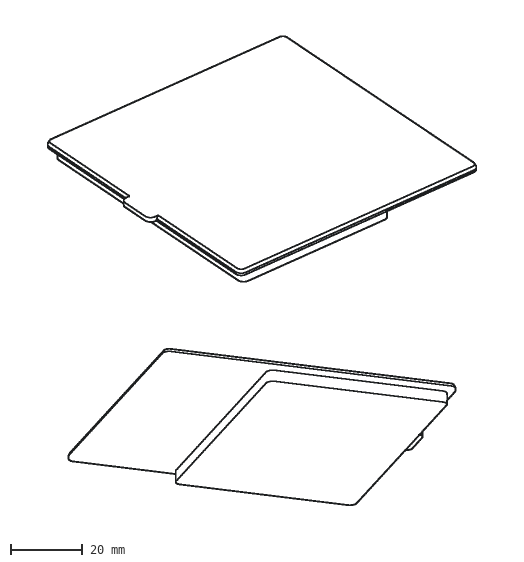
import cadquery as cq

plate_side = 86.0
plate_thickness = 2.0
plate_corner_radius = 2.0

bevel_height = 1.0
bevel_inset = 0.5
bottom_edge_radius = 0.5

tab_width = 12.6
tab_reach = 2.6
tab_thickness = 1.5
tab_corner_radius = 1.9

block_length = 82.8
block_width = 53.0
block_height = 3.3
block_corner_radius = 2.0
block_shift_x = 0.35
block_front_margin = 1.9


def make_plate():
    """Square plate with rounded corners, bevelled on top and rounded below."""
    return (
        cq.Workplane("XY")
        .rect(plate_side, plate_side)
        .extrude(plate_thickness)
        .edges("|Z")
        .fillet(plate_corner_radius)
        .faces(">Z")
        .chamfer(bevel_height, bevel_inset)
        .faces("<Z")
        .edges()
        .fillet(bottom_edge_radius)
    )


def make_tab():
    """Tab that starts at the edge of the flat top face and has two rounded outer corners."""
    front_y = -plate_side / 2 - tab_reach
    root_y = -plate_side / 2 + bevel_inset
    return (
        cq.Workplane("XY")
        .workplane(offset=plate_thickness - tab_thickness)
        .center(0, (front_y + root_y) / 2)
        .rect(tab_width, root_y - front_y)
        .extrude(tab_thickness)
        .edges("|Z and <Y")
        .fillet(tab_corner_radius)
    )


def make_block():
    """Locating block, set towards the tab side of the plate."""
    centre_y = -plate_side / 2 + block_front_margin + block_width / 2
    return (
        cq.Workplane("XY")
        .center(block_shift_x, centre_y)
        .rect(block_length, block_width)
        .extrude(-block_height)
        .edges("|Z")
        .fillet(block_corner_radius)
    )


result = make_plate().union(make_tab()).union(make_block())